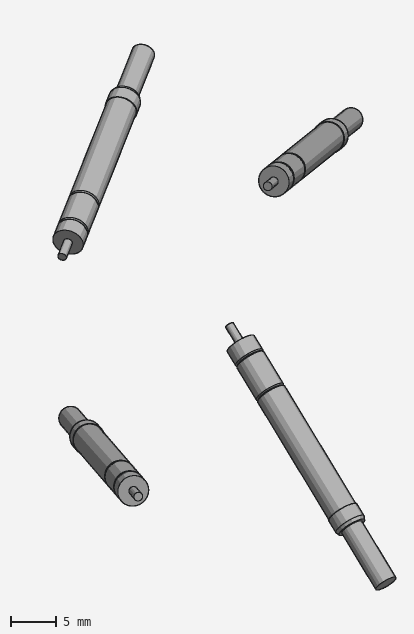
import cadquery as cq


stem_dia = 2.6
stem_length = 7.5
collar_dia = 3.65
collar_length = 1.6
lead_in_tip_dia = 3.3
lead_in_length = 0.4
barrel_dia = 3.5
barrel_length = 22.5
pin_dia = 1.0
pin_length = 2.5

groove_depth = 0.15
groove_half_width = groove_depth
groove_distances = (15.91, 20.49)

lead_in_end = collar_length + lead_in_length


def cylinder(diameter, y_start, length):
    """Solid cylinder on the Y axis, from y_start toward +Y."""
    plane = cq.Workplane("XZ", origin=(0, y_start, 0))
    return plane.circle(diameter / 2).extrude(-length)


def turned(points):
    """Full turn about the Y axis of a closed outline of (radius, y) points."""
    outline = cq.Workplane("XY").polyline(points).close()
    return outline.revolve(360, (0, 0, 0), (0, 1, 0))


def lead_in():
    """Cone on the +Y end of the collar, narrowing toward the stem."""
    return turned([
        (0, collar_length),
        (collar_dia / 2, collar_length),
        (lead_in_tip_dia / 2, lead_in_end),
        (0, lead_in_end),
    ])


def v_groove(y_centre):
    """Ring of triangular section that cuts a V-groove into the barrel."""
    radius = barrel_dia / 2
    return turned([
        (radius, y_centre - groove_half_width),
        (radius - groove_depth, y_centre),
        (radius, y_centre + groove_half_width),
    ])


barrel = cylinder(barrel_dia, -barrel_length, barrel_length)
for distance in groove_distances:
    barrel = barrel.cut(v_groove(-distance))

collar = cylinder(collar_dia, 0, collar_length).union(lead_in())
stem = cylinder(stem_dia, lead_in_end, stem_length)
pin = cylinder(pin_dia, -barrel_length - pin_length, pin_length)

result = barrel.union(collar).union(stem).union(pin)